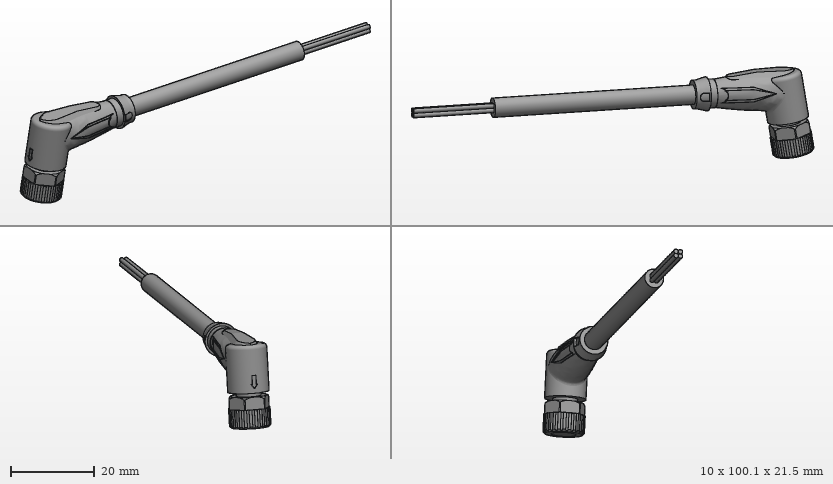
import cadquery as cq
import math

total_length = 100.1
plug_tilt = 9.5
plug_radius = 5.0

cable_diameter = 4.7
cable_length = 50.0
wire_diameter = 1.1

plug_top = 4.0
plug_bottom = -7.5
plug_top_fillet = 1.0
shoulder_height = 3.6
shoulder_rear_y = 3.8
elbow_fillet = 1.0

arm_small_radius = 3.4
arm_small_y = 17.3
arm_middle_radius = 4.5
arm_middle_y = 8.5
arm_middle_drop = 0.2
arm_large_radius = 4.9
arm_large_drop = 0.4

boot_radius = 3.5
boot_rear_y = 22.5
collar_radius = 4.1
collar_front_y = 19.1
collar_rear_y = 21.6
collar_lip = 0.3
notch_width = 2.0
notch_corner_radius = 0.9

pad_base = 3.5
pad_top = 4.9
pad_bevel_angle = 35.0
pad_front_y = -3.6
pad_front_bulge_x = 2.2
pad_front_bulge_y = -2.0
pad_half_width = 3.1
pad_widest_y = 1.5
pad_slope_start_y = 6.9
pad_rear_y = 14.5
pad_rear_radius = 2.0
pad_rear_top = 4.0

grip_tip_y = 3.0
grip_taper_y = 8.5
grip_rear_y = 14.7
grip_border_half_height = 1.8
grip_border_notch = 1.7
grip_border_depth = 0.15
grip_middle_half_height = 1.2
grip_middle_notch = 0.8
grip_middle_depth = 0.3

arrow_top = -3.2
arrow_shoulder = -5.3
arrow_tip = -6.4
arrow_half_width = 0.5
arrow_head_half_width = 0.8
arrow_depth = 0.2

nut_top = -8.5
nut_hex_bottom = -11.5
nut_bottom = -16.1
hex_across_flats = 8.8
hex_turn = 30.0
nut_chamfer = 0.5
groove_count = 24
groove_radius = 0.3
carrier_diameter = 6.0


def lean(body):
    """Turn a body built around the Z axis onto the leaning plug axis."""
    return body.rotate((0, 0, 0), (1, 0, 0), -plug_tilt)


def cylinder_z(radius, bottom, top):
    return cq.Workplane("XY", origin=(0, 0, bottom)).circle(radius).extrude(top - bottom)


def cylinder_y(radius, start_y, length, x=0.0, z=0.0):
    return cq.Workplane("XZ", origin=(x, start_y, z)).circle(radius).extrude(-length)


def arm_section(y, radius, drop):
    centre = cq.Vector(0, y, -drop)
    return cq.Wire.makeCircle(radius, centre, cq.Vector(0, 1, 0))


def make_arm(inset=0.0):
    """Taper from the plug axis to the boot, thinner all round by the inset."""
    sections = [
        arm_section(0, arm_large_radius - inset, arm_large_drop),
        arm_section(arm_middle_y, arm_middle_radius - inset, arm_middle_drop),
        arm_section(arm_small_y, arm_small_radius - inset, 0),
    ]
    return cq.Workplane("XY").add(cq.Solid.makeLoft(sections))


def make_shoulder_cut():
    """Space above the shoulder, from in front of the plug to where the arm rises behind it."""
    shoulder_cut = cq.Workplane("XY").box(
        4 * plug_radius, 2 * shoulder_rear_y, plug_radius, centered=(True, True, False)
    )
    return shoulder_cut.translate((0, 0, shoulder_height))


def make_elbow():
    """Lower half of the joint between plug and arm, with a fillet in its inner corner."""
    joint = lean(cylinder_z(plug_radius, plug_bottom, 2 * plug_radius)).union(make_arm())
    corner = joint.edges("%BSPLINE").edges("<Z")
    lower_half = cq.Workplane("XY").box(
        4 * plug_radius, 4 * arm_small_y, 4 * plug_radius, centered=(True, True, False)
    )
    return corner.fillet(elbow_fillet).intersect(lower_half.translate((0, 0, -4 * plug_radius)))


def make_plug():
    plug = cylinder_z(plug_radius, plug_bottom, plug_top)
    return lean(plug.faces(">Z").edges().fillet(plug_top_fillet))


def make_boot():
    """Sleeve around the cable entry; the collar has a notch on each side behind its lip."""
    lip_rear_y = collar_front_y + collar_lip
    profile = [
        (0, arm_small_y),
        (boot_radius, arm_small_y),
        (boot_radius, collar_front_y),
        (collar_radius, collar_front_y),
        (collar_radius, lip_rear_y),
        (boot_radius, collar_rear_y),
        (boot_radius, boot_rear_y),
        (0, boot_rear_y),
    ]
    boot = cq.Workplane("XY").polyline(profile).close().revolve(360, (0, 0, 0), (0, 1, 0))
    notch = (
        cq.Workplane("XY")
        .box(4 * collar_radius, collar_rear_y - lip_rear_y, notch_width, centered=(True, False, True))
        .faces(">Y")
        .edges("|X")
        .fillet(notch_corner_radius)
        .translate((0, lip_rear_y, 0))
    )
    return boot.cut(notch.cut(cylinder_y(boot_radius, arm_small_y, boot_rear_y - arm_small_y)))


def pad_outline(base):
    rear_arc_y = pad_rear_y - pad_rear_radius
    return (
        cq.Workplane("XY", origin=(0, 0, base))
        .moveTo(0, pad_front_y)
        .threePointArc((pad_front_bulge_x, pad_front_bulge_y), (pad_half_width, pad_widest_y))
        .lineTo(pad_rear_radius, rear_arc_y)
        .threePointArc((0, pad_rear_y), (-pad_rear_radius, rear_arc_y))
        .lineTo(-pad_half_width, pad_widest_y)
        .threePointArc((-pad_front_bulge_x, pad_front_bulge_y), (0, pad_front_y))
        .close()
    )


def make_pad():
    skirt = pad_outline(0).extrude(pad_base)
    bevelled = pad_outline(pad_base).extrude(pad_top - pad_base, taper=pad_bevel_angle)
    side_profile = [
        (pad_front_y, 0),
        (pad_front_y, pad_top),
        (pad_slope_start_y, pad_top),
        (pad_rear_y, pad_rear_top),
        (pad_rear_y, 0),
    ]
    side = cq.Workplane("YZ").polyline(side_profile).close().extrude(plug_radius, both=True)
    return skirt.union(bevelled).intersect(side)


def make_grip_cut(half_height, rear_notch, depth):
    """Leaf-shaped cut on both sides of the arm, with a hollowed rear end and an even depth."""
    corner_y = grip_rear_y + rear_notch
    leaf = (
        cq.Workplane("YZ")
        .moveTo(grip_tip_y, 0)
        .lineTo(grip_taper_y, half_height)
        .lineTo(corner_y, half_height)
        .threePointArc((grip_rear_y, 0), (corner_y, -half_height))
        .lineTo(grip_taper_y, -half_height)
        .close()
        .extrude(2 * plug_radius, both=True)
    )
    return leaf.cut(make_arm(depth))


def make_arrow_cut():
    arrow = (
        cq.Workplane("XZ")
        .polyline([
            (-arrow_half_width, arrow_top),
            (arrow_half_width, arrow_top),
            (arrow_half_width, arrow_shoulder),
            (arrow_head_half_width, arrow_shoulder),
            (0, arrow_tip),
            (-arrow_head_half_width, arrow_shoulder),
            (-arrow_half_width, arrow_shoulder),
        ])
        .close()
        .extrude(2 * plug_radius)
    )
    return lean(arrow.cut(cylinder_z(plug_radius - arrow_depth, plug_bottom, plug_top)))


def make_housing():
    housing = make_plug().union(make_arm().cut(make_shoulder_cut())).union(make_elbow())
    housing = housing.union(make_boot()).union(make_pad())
    housing = housing.cut(make_grip_cut(grip_border_half_height, grip_border_notch, grip_border_depth))
    housing = housing.cut(make_grip_cut(grip_middle_half_height, grip_middle_notch, grip_middle_depth))
    return housing.cut(make_arrow_cut())


def make_wires():
    """Four wires in a square bundle, reaching the total length from the front of the nut."""
    tilt = math.radians(plug_tilt)
    nut_reach = plug_radius * math.cos(tilt) - (nut_bottom + nut_chamfer) * math.sin(tilt)
    wire_radius = wire_diameter / 2
    start_y = boot_rear_y + cable_length
    wire_length = total_length - nut_reach - start_y
    return [
        cylinder_y(wire_radius, start_y, wire_length, x, z).val()
        for x in (-wire_radius, wire_radius)
        for z in (-wire_radius, wire_radius)
    ]


def make_nut():
    """Knurled ring with a hexagon above it, bored through for the contact carrier."""
    ring = cylinder_z(plug_radius, nut_bottom, nut_hex_bottom).faces("<Z").edges().chamfer(nut_chamfer)
    for index in range(groove_count):
        angle = math.radians((index + 0.5) * 360 / groove_count)
        groove = cylinder_z(groove_radius, nut_bottom, nut_hex_bottom)
        place = (plug_radius * math.cos(angle), plug_radius * math.sin(angle), 0)
        ring = ring.cut(groove.translate(place))
    hexagon = (
        cq.Workplane("XY", origin=(0, 0, nut_hex_bottom))
        .transformed(rotate=(0, 0, hex_turn))
        .polygon(6, hex_across_flats, circumscribed=True)
        .extrude(nut_top - nut_hex_bottom)
    )
    rounding = cylinder_z(plug_radius, nut_hex_bottom, nut_top).faces(">Z").edges().chamfer(nut_chamfer)
    bore = cylinder_z(carrier_diameter / 2, nut_bottom, nut_top)
    return lean(ring.union(hexagon.intersect(rounding)).cut(bore))


housing = make_housing()
cable = cylinder_y(cable_diameter / 2, boot_rear_y, cable_length)
wires = make_wires()
nut = make_nut()
contact_carrier = lean(cylinder_z(carrier_diameter / 2, nut_bottom, plug_bottom))

result = cq.Compound.makeCompound([
    housing.val(),
    cable.val(),
    *wires,
    nut.val(),
    contact_carrier.val(),
])